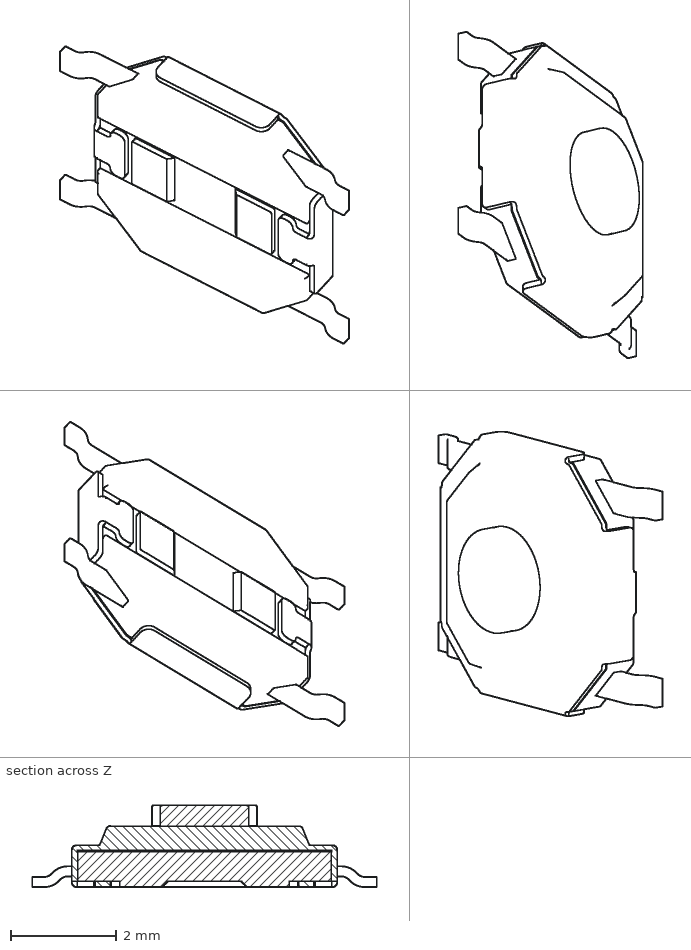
import cadquery as cq
import math


cover_half = 2.525
flange_thickness = 0.1
flap_thickness = 0.11
cover_bend_radius = 0.1
flange_top = 0.8
corner_reach = 3.825
flap_half_width = 1.29
flap_root_radius = 0.08

dome_half = 2.0
dome_top = 1.165
dome_taper = 22
dome_radius = 0.1
dome_foot_radius = 0.02

z_flap_bottom = 0.215
z_flap_corner_radius = 0.195

x_flap_bottom = flap_thickness
x_flap_corner_radius = 0.1
neck_half_width = 0.385
neck_root_radius = 0.09
hook_head_half_width = 0.6
hook_head_inner = 1.77
hook_head_outer = 2.1
hook_head_radius = 0.13
hook_neck_radius = 0.08

base_half = cover_half - flap_thickness
flange_bottom = flange_top - flange_thickness
base_clearance = 0.02
base_top = flange_bottom - base_clearance
base_edge_radius = 0.045
base_corner_radius = 0.07
groove_half_width = 0.76
groove_depth = flap_thickness

pad_inner = 0.695
pad_outer = 1.61
pad_half_width = hook_head_half_width
pad_bevel = groove_depth
pad_corner_radius = 0.04

button_radius = 1.0
button_top = 1.56
button_edge_radius = 0.04

terminal_half_length = 3.275
terminal_thickness = 0.195
terminal_width = 0.55
terminal_places = (-1.82, 1.82)
terminal_lift = 0.2
terminal_edge_radius = 0.02
foot_length = 0.23
bend_inner_radius = 0.195

selection_margin = 0.005


def octagon(half, reach, y):
    """Square of the given half size with its corners cut off where x + z = reach."""
    corner = reach - half
    return cq.Workplane("ZX", origin=(0, y, 0)).polyline([
        (half, -corner), (half, corner), (corner, half), (-corner, half),
        (-half, corner), (-half, -corner), (-corner, -half), (corner, -half),
    ]).close()


def make_base():
    """Plastic block with a groove along X in its underside, which holds two pads."""
    block = octagon(base_half, corner_reach, 0).extrude(base_top)
    block = block.edges("|Y").fillet(base_corner_radius)

    groove = cq.Workplane("XY").box(2 * cover_half, groove_depth, 2 * groove_half_width,
                                    centered=(True, False, True))
    block = block.cut(groove)
    block = block.faces("<Y").edges().fillet(base_edge_radius)
    for side in (-1, 1):
        block = block.union(make_pad(side))
    for z in terminal_places:
        block = block.cut(make_terminal(z))
    return block


def make_pad(side):
    """Pad on the groove floor, with a bevel toward the middle; side is -1 or 1 along X."""
    pad = (cq.Workplane("XY", origin=(0, 0, -pad_half_width))
           .moveTo(side * pad_inner, groove_depth)
           .lineTo(side * (pad_inner + pad_bevel), 0)
           .lineTo(side * pad_outer, 0)
           .lineTo(side * pad_outer, groove_depth)
           .close()
           .extrude(2 * pad_half_width))
    outer_side = ">X" if side > 0 else "<X"
    return pad.faces(outer_side).edges("|Y").fillet(pad_corner_radius)


def make_cover():
    """Sheet with a dome on top and flaps bent down around the base."""
    cover = octagon(base_half, corner_reach, flange_bottom).extrude(flange_thickness)
    cover = cover.edges("|Y").fillet(base_corner_radius)
    for turn in (0, 90, 180, 270):
        cover = cover.union(make_flap_root().rotate((0, 0, 0), (0, 1, 0), turn))
    for side in (-1, 1):
        cover = cover.union(make_z_flap(side)).union(make_x_flap(side))

    envelope = (cq.Workplane("XY")
                .box(2 * cover_half, flange_top, 2 * cover_half, centered=(True, False, True))
                .edges("|Z or (>Y and |X)").fillet(cover_bend_radius))
    cover = cover.intersect(envelope).union(make_dome())
    foot_reach = dome_half + selection_margin
    dome_foot = cq.selectors.BoxSelector(
        (-foot_reach, flange_top - selection_margin, -foot_reach),
        (foot_reach, flange_top + selection_margin, foot_reach),
        boundingbox=True)
    return cover.edges(dome_foot).fillet(dome_foot_radius)


def make_flap_root():
    """Strip of the sheet on the +X side, from the flange out to the flap."""
    root_z = flap_half_width + flap_root_radius
    arc_shift = flap_root_radius * (1 - math.sqrt(0.5))
    arc_middle = (flap_half_width + arc_shift, base_half + arc_shift)
    return (cq.Workplane("ZX", origin=(0, flange_bottom, 0))
            .moveTo(-root_z, base_half)
            .lineTo(root_z, base_half)
            .threePointArc(arc_middle, (flap_half_width, base_half + flap_root_radius))
            .lineTo(flap_half_width, cover_half)
            .lineTo(-flap_half_width, cover_half)
            .lineTo(-flap_half_width, base_half + flap_root_radius)
            .threePointArc((-arc_middle[0], arc_middle[1]), (-root_z, base_half))
            .close()
            .extrude(flange_thickness))


def make_dome():
    """Raised octagon with sloping sides, parallel to the edge of the flange."""
    inset = base_half - dome_half
    dome = octagon(dome_half, corner_reach - inset * math.sqrt(2), flange_top)
    dome = dome.extrude(dome_top - flange_top, taper=dome_taper)
    return dome.edges("not <Y").fillet(dome_radius)


def make_z_flap(side):
    """Flap on the +Z or -Z side, with rounded lower corners."""
    flap_height = flange_bottom - z_flap_bottom
    middle_z = side * (cover_half - flap_thickness / 2)
    return (cq.Workplane("XY", origin=(0, z_flap_bottom + flap_height / 2, middle_z))
            .box(2 * flap_half_width, flap_height, flap_thickness)
            .faces("<Y").edges("|Z").fillet(z_flap_corner_radius))


def make_x_flap(side):
    """Flap on the +X or -X side, with a neck that bends into a T-shaped hook under the base."""
    flap_height = flange_bottom - x_flap_bottom
    middle_x = side * (cover_half - flap_thickness / 2)
    flap = (cq.Workplane("XY", origin=(middle_x, x_flap_bottom + flap_height / 2, 0))
            .box(flap_thickness, flap_height, 2 * flap_half_width)
            .faces("<Y").edges("|X").fillet(x_flap_corner_radius))

    root_half_width = neck_half_width + neck_root_radius
    root_low = x_flap_bottom - neck_root_radius
    root_shift = neck_root_radius * math.sqrt(0.5)
    root_mid = (root_half_width - root_shift, root_low + root_shift)
    neck = (cq.Workplane("ZY", origin=(middle_x + flap_thickness / 2, 0, 0))
            .moveTo(-neck_half_width, 0)
            .lineTo(neck_half_width, 0)
            .lineTo(neck_half_width, root_low)
            .threePointArc(root_mid, (root_half_width, x_flap_bottom))
            .lineTo(-root_half_width, x_flap_bottom)
            .threePointArc((-root_mid[0], root_mid[1]), (-neck_half_width, root_low))
            .close()
            .extrude(flap_thickness))
    return flap.union(neck).union(make_hook(side))


def make_hook(side):
    """T-shaped plate under the base, lying in its groove."""
    neck = (cq.Workplane("ZX")
            .center(0, side * (base_half + hook_head_outer) / 2)
            .rect(2 * neck_half_width, base_half - hook_head_outer)
            .extrude(flap_thickness))
    head = (cq.Workplane("ZX")
            .center(0, side * (hook_head_inner + hook_head_outer) / 2)
            .rect(2 * hook_head_half_width, hook_head_outer - hook_head_inner)
            .extrude(flap_thickness)
            .edges("|Y").fillet(hook_head_radius))
    hook = head.union(neck)
    corner_x = side * hook_head_outer
    corner_z = neck_half_width + selection_margin
    inside_corners = cq.selectors.BoxSelector(
        (corner_x - selection_margin, 0, -corner_z),
        (corner_x + selection_margin, flap_thickness, corner_z))
    return hook.edges("|Y").edges(inside_corners).fillet(hook_neck_radius)


def make_button():
    """Round button standing on the dome."""
    return (cq.Workplane("ZX", origin=(0, dome_top, 0))
            .circle(button_radius)
            .extrude(button_top - dome_top)
            .faces(">Y").edges().fillet(button_edge_radius))


def make_terminal(z):
    """Flat bar through the base with an S-bend down to a foot at each end, centred at z."""
    outer_radius = bend_inner_radius + terminal_thickness
    radius_sum = bend_inner_radius + outer_radius
    angle = math.acos(1 - terminal_lift / radius_sum)
    foot_x = terminal_half_length - foot_length
    bar_x = foot_x - radius_sum * math.sin(angle)
    bar_top = terminal_lift + terminal_thickness

    def bend_middle(radius, bar_y):
        """Point where the two arcs of the S-bend meet, for the arc next to the bar."""
        return bar_x + radius * math.sin(angle), bar_y - radius * (1 - math.cos(angle))

    half_bar = (cq.Workplane("XY", origin=(0, 0, z - terminal_width / 2))
                .moveTo(0, terminal_lift)
                .lineTo(bar_x, terminal_lift)
                .tangentArcPoint(bend_middle(bend_inner_radius, terminal_lift), relative=False)
                .tangentArcPoint((foot_x, 0), relative=False)
                .lineTo(terminal_half_length, 0)
                .lineTo(terminal_half_length, terminal_thickness)
                .lineTo(foot_x, terminal_thickness)
                .tangentArcPoint(bend_middle(outer_radius, bar_top), relative=False)
                .tangentArcPoint((bar_x, bar_top), relative=False)
                .lineTo(0, bar_top)
                .close()
                .extrude(terminal_width))
    half_bar = half_bar.faces("not <X").edges("not <X").fillet(terminal_edge_radius)
    return half_bar.union(half_bar.mirror("YZ"))


base = make_base()
cover = make_cover()
button = make_button()
terminals = [make_terminal(z) for z in terminal_places]

result = cq.Compound.makeCompound(
    [base.val(), cover.val(), button.val(), *[terminal.val() for terminal in terminals]])